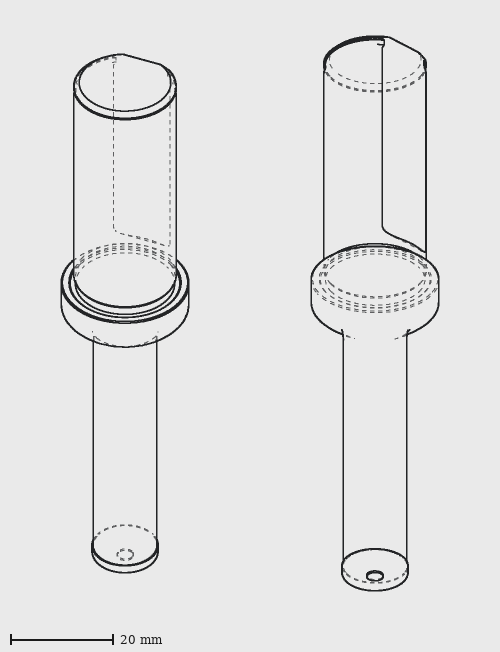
import cadquery as cq

total_length = 118.0
tip_boss_height = 0.4
head_top_z = 2.5
flange_bottom_z = 62.8
flange_top_z = 68.1
shank_bottom_z = 70.0

shank_radius = 20.1 / 2
neck_radius = 19.5 / 2
flange_radius = 25.0 / 2
stem_radius = 12.5 / 2
head_radius = 13.0 / 2
tip_boss_radius = 3.2 / 2

end_face_radius = 9.0
rim_top_z = total_length - 1.0
rim_bottom_z = total_length - 1.3
groove_bottom_z = total_length - 2.4
groove_taper_z = total_length - 3.3

neck_taper_height = 0.5
relief_radius = 10.7
relief_depth = 0.2
flange_chamfer = 0.2

upper_bend = (11.9, 61.5)
lower_bend = (8.0, 58.5)
stem_top_z = 54.9
straight_down = (0, -1)

flat_offset = 8.0
flat_bottom_z = 74.2
flat_runout_radius = 2.5

head_round = 0.7


def make_holder():
    """Turned shank, flange and stem in one piece."""
    return (
        cq.Workplane("XZ")
        .moveTo(0, total_length)
        .lineTo(end_face_radius, total_length)
        .lineTo(shank_radius, rim_top_z)
        .lineTo(shank_radius, rim_bottom_z)
        .lineTo(neck_radius, rim_bottom_z)
        .lineTo(neck_radius, groove_bottom_z)
        .lineTo(shank_radius, groove_taper_z)
        .lineTo(shank_radius, shank_bottom_z)
        .lineTo(neck_radius, shank_bottom_z - neck_taper_height)
        .lineTo(neck_radius, flange_top_z - relief_depth)
        .lineTo(relief_radius, flange_top_z - relief_depth)
        .lineTo(relief_radius + relief_depth, flange_top_z)
        .lineTo(flange_radius - flange_chamfer, flange_top_z)
        .lineTo(flange_radius, flange_top_z - flange_chamfer)
        .lineTo(flange_radius, flange_bottom_z)
        .spline(
            [upper_bend, lower_bend, (stem_radius, stem_top_z)],
            tangents=[straight_down, straight_down],
            includeCurrent=True,
        )
        .lineTo(stem_radius, head_top_z)
        .lineTo(0, head_top_z)
        .close()
        .revolve(360, (0, 0, 0), (0, 1, 0))
        .cut(make_flat_cutter())
    )


def make_flat_cutter():
    """Material above the clamping flat, with a rounded runout at its lower end."""
    runout_center_y = flat_offset + flat_runout_radius
    runout_bottom_z = flat_bottom_z - flat_runout_radius
    slab = cq.Workplane("YZ").moveTo(flat_offset, total_length).lineTo(flat_offset, flat_bottom_z)
    return (
        slab.radiusArc((runout_center_y, runout_bottom_z), -flat_runout_radius)
        .lineTo(runout_center_y, total_length)
        .close()
        .extrude(shank_radius, both=True)
    )


def make_head():
    """Round head on the end of the stem, with a small boss at its tip."""
    head = (
        cq.Workplane("XY")
        .workplane(offset=tip_boss_height)
        .circle(head_radius)
        .extrude(head_top_z - tip_boss_height)
        .faces("<Z")
        .edges()
        .fillet(head_round)
    )
    tip_boss = cq.Workplane("XY").circle(tip_boss_radius).extrude(tip_boss_height)
    return head.union(tip_boss)


holder = make_holder()
head = make_head()

result = cq.Compound.makeCompound([holder.val(), head.val()])